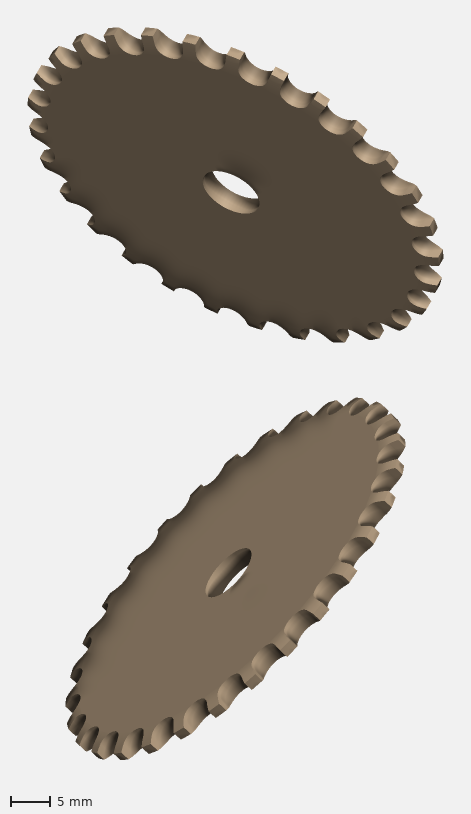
import cadquery as cq
import math

tooth_count = 29
tip_radius = 28.9
pitch_radius = 27.8
seat_radius = 2.1
face_radius = 26.05
thickness = 2.6
tip_thickness = 1.35
bore_diameter = 8.0

tooth_angle = 360 / tooth_count
half_tooth_angle = math.radians(tooth_angle / 2)
half_thickness = thickness / 2
half_tip = tip_thickness / 2
cutter_length = 2 * thickness
cutter_radius = tip_radius + seat_radius


def make_blank():
    """Disc whose rim is thinned on both sides by arcs tangent to the flat faces."""
    middle_radius, middle_height = rim_arc_middle()
    return (
        cq.Workplane("XY")
        .moveTo(0, -half_thickness)
        .lineTo(face_radius, -half_thickness)
        .threePointArc((middle_radius, -middle_height), (tip_radius, -half_tip))
        .lineTo(tip_radius, half_tip)
        .threePointArc((middle_radius, middle_height), (face_radius, half_thickness))
        .lineTo(0, half_thickness)
        .close()
        .revolve(360, (0, 0), (0, 1))
    )


def rim_arc_middle():
    """Middle point of the rim arc, which leaves the flat face tangentially."""
    width = tip_radius - face_radius
    drop = half_thickness - half_tip
    radius = (width**2 + drop**2) / (2 * drop)
    half_sweep = math.asin(width / radius) / 2
    return (
        face_radius + radius * math.sin(half_sweep),
        half_thickness - radius * (1 - math.cos(half_sweep)),
    )


def cutter_plane():
    """XZ plane beyond the disc; an extrusion from here runs toward -Y through the whole disc."""
    return cq.Workplane("XZ", origin=(0, cutter_length / 2, 0))


def make_gap():
    """Tooth gap centred on +Z: a round seat with flanks parallel to the neighbouring tooth axes."""
    flank_x = seat_radius * math.cos(half_tooth_angle)
    flank_z = pitch_radius - seat_radius * math.sin(half_tooth_angle)
    outer_x = flank_x + (cutter_radius - flank_z) * math.tan(half_tooth_angle)
    return (
        cutter_plane()
        .moveTo(-flank_x, flank_z)
        .threePointArc((0, pitch_radius - seat_radius), (flank_x, flank_z))
        .lineTo(outer_x, cutter_radius)
        .lineTo(-outer_x, cutter_radius)
        .close()
        .extrude(cutter_length)
    )


def make_bore():
    return cutter_plane().circle(bore_diameter / 2).extrude(cutter_length)


result = make_blank().cut(make_bore())

gap = make_gap()
for index in range(tooth_count):
    gap_angle = (index + 0.5) * tooth_angle
    result = result.cut(gap.rotate((0, 0, 0), (0, 1, 0), gap_angle))